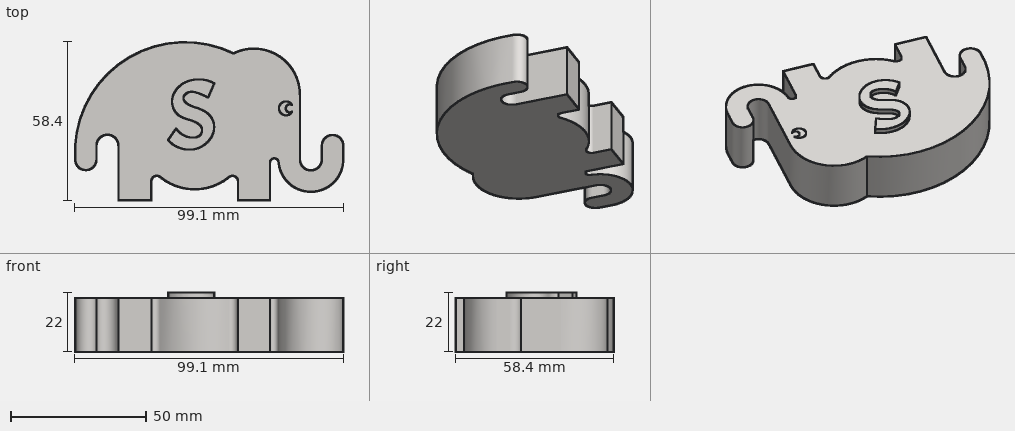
import cadquery as cq
import math

length = 99.05
body_thickness = 20.0
letter_height = 2.0
eye_depth = 2.0

limb_radius = 4.0
low_center_y = 15.2
high_center_y = 20.2
tail_inner_x = 2 * limb_radius
rear_leg_back_x = 4 * limb_radius

rear_leg_front_x = 28.2
front_leg_back_x = 60.1
front_leg_front_x = 72.0
leg_fillet = 2.0
belly_radius = 20.0
belly_bottom_y = 4.1

trunk_outer_radius = 3 * limb_radius
trunk_center_x = length - trunk_outer_radius
trunk_tip_inner_x = trunk_center_x + limb_radius
face_x = trunk_center_x - limb_radius
trunk_notch_y = 14.0

back_radius = 40.6
back_top_y = 58.4
head_radius = 17.0
head_center = (face_x - head_radius, 39.0)

eye_center = (77.9, 34.0)
eye_radius = 2.6
pupil_radius = 1.5
pupil_offset = 1.4


def on_circle(center, radius, degrees):
    angle = math.radians(degrees)
    return (center[0] + radius * math.cos(angle), center[1] + radius * math.sin(angle))


def upper_crossing(center_a, radius_a, center_b, radius_b):
    """Upper of the two points where circle a meets circle b, with b to the right of a."""
    dx = center_b[0] - center_a[0]
    dy = center_b[1] - center_a[1]
    distance = math.hypot(dx, dy)
    along = (distance**2 + radius_a**2 - radius_b**2) / (2 * distance)
    spread = math.acos(along / radius_a)
    return on_circle(center_a, radius_a, math.degrees(math.atan2(dy, dx) + spread))


def make_silhouette():
    belly_x = (rear_leg_front_x + front_leg_back_x) / 2
    belly_y = belly_bottom_y + belly_radius
    fillet_dx = belly_x - rear_leg_front_x - leg_fillet
    fillet_dy = math.sqrt((belly_radius + leg_fillet) ** 2 - fillet_dx**2)
    fillet_y = belly_y - fillet_dy
    tangent_share = leg_fillet / (belly_radius + leg_fillet)
    tangent_dx = leg_fillet + fillet_dx * tangent_share
    tangent_y = fillet_y + fillet_dy * tangent_share
    fillet_top_y = fillet_y + leg_fillet

    notch_drop = low_center_y - trunk_notch_y
    notch_end_x = trunk_center_x - math.sqrt(trunk_outer_radius**2 - notch_drop**2)
    notch_radius = (notch_end_x - front_leg_front_x) / 2

    back_center = (back_radius, back_top_y - back_radius)
    back_drop = back_center[1] - low_center_y
    tail_outer_x = back_radius - math.sqrt(back_radius**2 - back_drop**2)
    tail_tip_x = (tail_outer_x + tail_inner_x) / 2
    tail_bottom_y = low_center_y - limb_radius
    nape = upper_crossing(back_center, back_radius, head_center, head_radius)

    return (
        cq.Workplane("XY")
        .moveTo(tail_outer_x, low_center_y)
        .threePointArc((tail_tip_x, tail_bottom_y), (tail_inner_x, low_center_y))
        .lineTo(tail_inner_x, high_center_y)
        .threePointArc(
            (tail_inner_x + limb_radius, high_center_y + limb_radius),
            (rear_leg_back_x, high_center_y),
        )
        .lineTo(rear_leg_back_x, 0)
        .lineTo(rear_leg_front_x, 0)
        .lineTo(rear_leg_front_x, fillet_y)
        .threePointArc(
            (rear_leg_front_x + leg_fillet, fillet_top_y),
            (rear_leg_front_x + tangent_dx, tangent_y),
        )
        .threePointArc((belly_x, belly_bottom_y), (front_leg_back_x - tangent_dx, tangent_y))
        .threePointArc((front_leg_back_x - leg_fillet, fillet_top_y), (front_leg_back_x, fillet_y))
        .lineTo(front_leg_back_x, 0)
        .lineTo(front_leg_front_x, 0)
        .lineTo(front_leg_front_x, trunk_notch_y)
        .threePointArc(
            (front_leg_front_x + notch_radius, trunk_notch_y + notch_radius),
            (notch_end_x, trunk_notch_y),
        )
        .threePointArc((trunk_center_x, low_center_y - trunk_outer_radius), (length, low_center_y))
        .lineTo(length, high_center_y)
        .threePointArc(
            (length - limb_radius, high_center_y + limb_radius),
            (trunk_tip_inner_x, high_center_y),
        )
        .lineTo(trunk_tip_inner_x, low_center_y)
        .threePointArc((trunk_center_x, low_center_y - limb_radius), (face_x, low_center_y))
        .lineTo(face_x, head_center[1])
        .threePointArc(on_circle(head_center, head_radius, 60), nape)
        .threePointArc(on_circle(back_center, back_radius, 135), (tail_outer_x, low_center_y))
        .close()
    )


def make_eye():
    """Crescent inlay, flush with the upper face of the elephant."""
    floor = cq.Workplane("XY").workplane(offset=body_thickness - eye_depth)
    disc = floor.center(*eye_center).circle(eye_radius).extrude(eye_depth)
    pupil = floor.center(eye_center[0] + pupil_offset, eye_center[1]).circle(pupil_radius)
    return disc.cut(pupil.extrude(eye_depth))


def make_elephant(eye):
    """Thick elephant plate with a pocket that fits the eye."""
    return make_silhouette().extrude(body_thickness).cut(eye)


def make_letter():
    """Raised S standing on the flank: two smooth curves joined by straight stroke ends."""
    upper_left_curve = [
        (51.4, 43.2), (45.2, 44.7), (39.5, 42.9), (35.9, 37.1), (37.6, 32.0), (41.9, 29.8),
        (45.2, 28.5), (46.95, 26.2), (46.0, 23.9), (43.4, 23.2), (39.1, 24.7), (37.3, 26.5),
    ]
    lower_right_curve = [
        (34.4, 22.3), (37.8, 19.7), (42.4, 18.7), (47.7, 20.5), (51.4, 27.1), (49.8, 31.3),
        (45.0, 34.2), (41.5, 35.7), (40.0, 37.7), (41.9, 39.9), (44.5, 39.9), (49.1, 37.9),
    ]
    return (
        cq.Workplane("XY")
        .workplane(offset=body_thickness)
        .moveTo(*upper_left_curve[0])
        .spline(upper_left_curve[1:], includeCurrent=True)
        .lineTo(*lower_right_curve[0])
        .spline(lower_right_curve[1:], includeCurrent=True)
        .close()
        .extrude(letter_height)
    )


eye = make_eye()
elephant = make_elephant(eye)
letter = make_letter()

result = cq.Compound.makeCompound([elephant.val(), letter.val(), eye.val()])